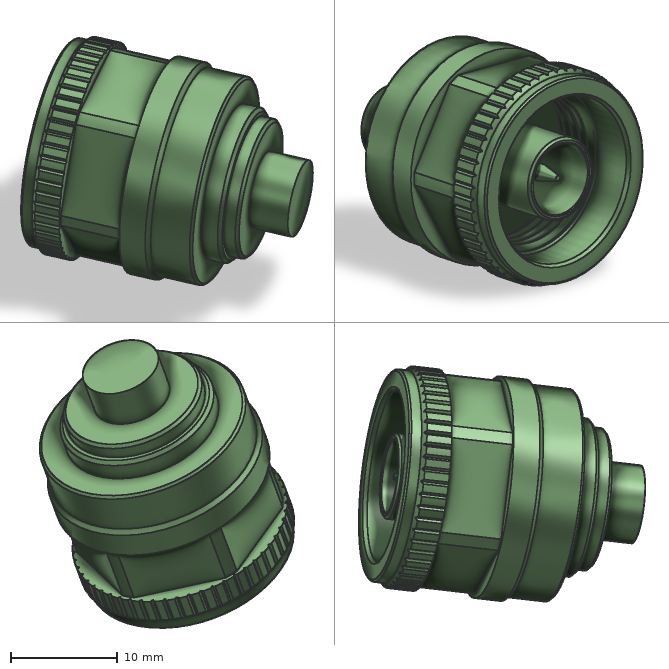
import cadquery as cq
import math

TOTAL_LENGTH = 24.4
GRIP_RADIUS = 21.0 / 2
BODY_RADIUS = 10.08
CLEARANCE = 0.25

LIP_END = 1.17
KNURL_END = 4.0
COLLAR_START = 9.98
COLLAR_END = 12.95
SLEEVE_END = 17.03
CLAMP_END = 19.05
NECK_END = 20.5

CLAMP_RADIUS = 7.52
NECK_RADIUS = 6.75
CABLE_RADIUS = 3.7
STEP_CHAMFER = GRIP_RADIUS - BODY_RADIUS
LIP_CHAMFER = 0.2
SLEEVE_CHAMFER = 0.25
CLAMP_CHAMFER = 0.35
NECK_CHAMFER = 0.3

HEX_ACROSS_FLATS = 18.05

KNURL_COUNT = 55
KNURL_DEPTH = 0.22
KNURL_HALF_WIDTH = KNURL_DEPTH

MOUTH_RADIUS = 8.4
MOUTH_CHAMFER_LENGTH = 0.4
BORE_RADIUS = 8.15
BORE_END = 4.2
RELIEF_RADIUS = 8.1
RELIEF_START = 8.55
SOCKET_FLOOR = 9.52

THREAD_MINOR_RADIUS = 7.35
THREAD_MAJOR_RADIUS = 7.93
THREAD_PITCH = 1.05
THREAD_OVERCUT = 0.05
THREAD_ROOT_WIDTH = 0.22
THREAD_FLANK_ANGLE = math.radians(30)
THREAD_START = 2.73
THREAD_TURNS = 6
THREAD_START_ANGLE = 74

CONTACT_FRONT = 0.51
CONTACT_RADIUS = 4.05
CONTACT_CHAMFER = 0.25
CONTACT_BORE_RADIUS = 3.46
CONTACT_BORE_CHAMFER = 0.12
PIN_FRONT = 0.98
PIN_TIP_RADIUS = 0.27
PIN_RADIUS = 0.83
PIN_TAPER_LENGTH = 2.35


def revolve_about_x(points):
    """Solid of revolution about X from (x, radius) points."""
    return cq.Workplane("XY").polyline(points).close().revolve(360, (0, 0, 0), (1, 0, 0))


def make_body():
    return revolve_about_x([
        (0, 0),
        (0, BODY_RADIUS - LIP_CHAMFER),
        (LIP_CHAMFER, BODY_RADIUS),
        (LIP_END, BODY_RADIUS),
        (LIP_END + STEP_CHAMFER, GRIP_RADIUS),
        (KNURL_END, GRIP_RADIUS),
        (KNURL_END, BODY_RADIUS),
        (COLLAR_START, BODY_RADIUS),
        (COLLAR_START, GRIP_RADIUS),
        (COLLAR_END - STEP_CHAMFER, GRIP_RADIUS),
        (COLLAR_END, BODY_RADIUS),
        (SLEEVE_END - SLEEVE_CHAMFER, BODY_RADIUS),
        (SLEEVE_END, BODY_RADIUS - SLEEVE_CHAMFER),
        (SLEEVE_END, CLAMP_RADIUS),
        (CLAMP_END - CLAMP_CHAMFER, CLAMP_RADIUS),
        (CLAMP_END, CLAMP_RADIUS - CLAMP_CHAMFER),
        (CLAMP_END, NECK_RADIUS),
        (NECK_END - NECK_CHAMFER, NECK_RADIUS),
        (NECK_END, NECK_RADIUS - NECK_CHAMFER),
        (NECK_END, CABLE_RADIUS),
        (TOTAL_LENGTH, CABLE_RADIUS),
        (TOTAL_LENGTH, 0),
    ])


def make_hex_waste():
    """Material outside the hexagon, whose corners point along +Y and -Y."""
    across_corners = HEX_ACROSS_FLATS / math.cos(math.pi / 6)
    return (
        cq.Workplane("YZ", origin=(KNURL_END, 0, 0))
        .circle(GRIP_RADIUS + CLEARANCE)
        .polygon(6, across_corners)
        .extrude(COLLAR_START - KNURL_END)
    )


def make_knurl_cutters():
    """V grooves along X, placed half a pitch either side of -Y."""
    tip_radius = GRIP_RADIUS - KNURL_DEPTH
    outer_radius = GRIP_RADIUS + CLEARANCE
    outer_half_width = KNURL_HALF_WIDTH * (outer_radius - tip_radius) / KNURL_DEPTH
    groove = (
        cq.Workplane("YZ", origin=(LIP_END, 0, 0))
        .polyline([
            (-tip_radius, 0),
            (-outer_radius, outer_half_width),
            (-outer_radius, -outer_half_width),
        ])
        .close()
        .extrude(KNURL_END - LIP_END)
    )
    pitch_angle = 360 / KNURL_COUNT
    cutters = cq.Workplane("XY")
    for index in range(KNURL_COUNT):
        cutters = cutters.add(groove.rotate((0, 0, 0), (1, 0, 0), (index + 0.5) * pitch_angle))
    return cutters.combine()


def make_socket():
    """Stepped socket with a 45 degree lead-in to the thread and a relief behind it."""
    lead_in = BORE_RADIUS - THREAD_MINOR_RADIUS
    return revolve_about_x([
        (0, 0),
        (0, MOUTH_RADIUS),
        (MOUTH_CHAMFER_LENGTH, BORE_RADIUS),
        (BORE_END, BORE_RADIUS),
        (BORE_END + lead_in, THREAD_MINOR_RADIUS),
        (RELIEF_START, THREAD_MINOR_RADIUS),
        (RELIEF_START, RELIEF_RADIUS),
        (SOCKET_FLOOR, RELIEF_RADIUS),
        (SOCKET_FLOOR, 0),
    ])


def make_thread_turn():
    """Cutter for the first turn of a right-hand thread groove."""
    inner_radius = THREAD_MINOR_RADIUS - THREAD_OVERCUT
    root_half = THREAD_ROOT_WIDTH / 2
    mouth_half = root_half + (THREAD_MAJOR_RADIUS - inner_radius) * math.tan(THREAD_FLANK_ANGLE)
    helix = cq.Wire.makeHelix(THREAD_PITCH, THREAD_PITCH, THREAD_MAJOR_RADIUS)
    groove = (
        cq.Workplane("XZ")
        .polyline([
            (THREAD_MAJOR_RADIUS, -root_half),
            (THREAD_MAJOR_RADIUS, root_half),
            (inner_radius, mouth_half),
            (inner_radius, -mouth_half),
        ])
        .close()
        .sweep(cq.Workplane(helix), isFrenet=True)
    )
    along_x = groove.rotate((0, 0, 0), (0, 1, 0), 90)
    turned = along_x.rotate((0, 0, 0), (1, 0, 0), THREAD_START_ANGLE)
    return turned.translate((THREAD_START, 0, 0))


def cut_thread(blank):
    """Cut the groove turn by turn, from the bore into the relief."""
    turn = make_thread_turn()
    for index in range(THREAD_TURNS):
        blank = blank.cut(turn.translate((index * THREAD_PITCH, 0, 0)))
    return blank


def make_contact_sleeve():
    """Hollow sleeve standing on the socket floor."""
    back = SOCKET_FLOOR + CLEARANCE
    return revolve_about_x([
        (back, CONTACT_RADIUS),
        (CONTACT_FRONT + CONTACT_CHAMFER, CONTACT_RADIUS),
        (CONTACT_FRONT, CONTACT_RADIUS - CONTACT_CHAMFER),
        (CONTACT_FRONT, CONTACT_BORE_RADIUS + CONTACT_BORE_CHAMFER),
        (CONTACT_FRONT + CONTACT_BORE_CHAMFER, CONTACT_BORE_RADIUS),
        (back, CONTACT_BORE_RADIUS),
    ])


def make_pin():
    """Centre pin with a blunt tapered tip."""
    back = SOCKET_FLOOR + CLEARANCE
    return revolve_about_x([
        (back, 0),
        (back, PIN_RADIUS),
        (PIN_FRONT + PIN_TAPER_LENGTH, PIN_RADIUS),
        (PIN_FRONT, PIN_TIP_RADIUS),
        (PIN_FRONT, 0),
    ])


body = make_body().cut(make_socket())
body = cut_thread(body)
body = body.cut(make_hex_waste()).cut(make_knurl_cutters())
result = body.union(make_contact_sleeve()).union(make_pin())